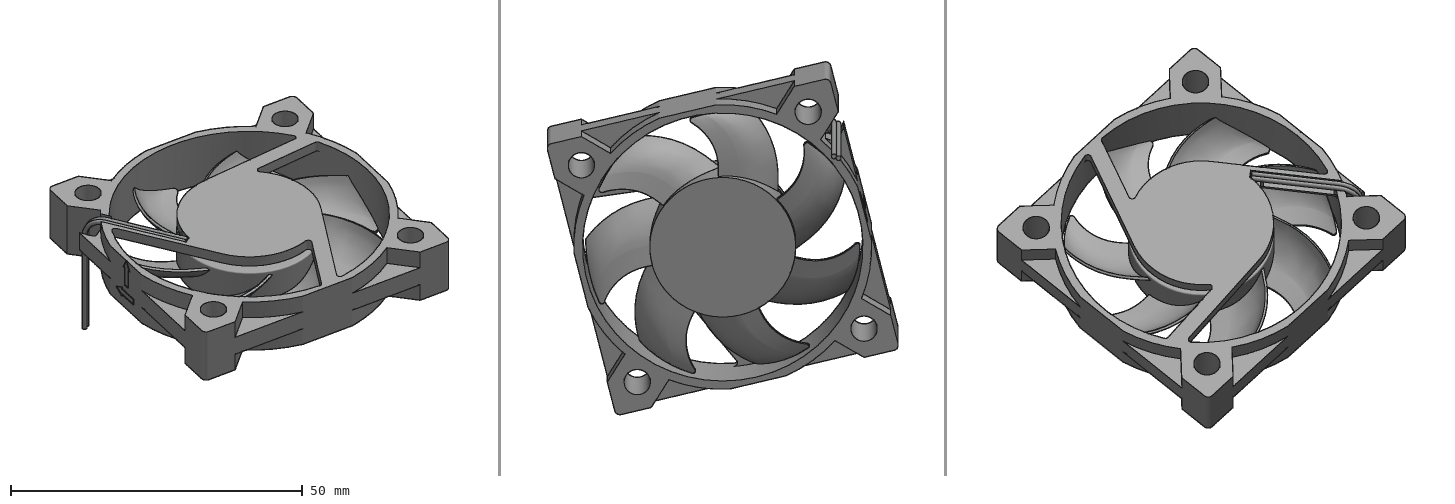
import cadquery as cq
import math

side = 50.0
frame_height = 10.25
corner_radius = 0.95
ring_radius = 25.5
bore_radius = 24.0
web_height = 3.6
corner_width = 8.8
hole_spacing = 40.0
hole_diameter = 4.5

plate_radius = 12.4
plate_thickness = 1.95
strut_width = 2.9
strut_count = 3
strut_angle = 215.4
strut_fillet = 0.6
strut_inner_offset = plate_radius - strut_width

wire_diameter = 0.85
wire_middle_offset = 10.65
wire_start = 7.25
wire_drop_place = 25.95
wire_bend_radius = 3.75
overall_height = 23.8
wire_end = frame_height - overall_height

channel_start = 7.0
channel_depth = 1.5
mouth_length = 2.0
mouth_extra_width = 1.0
channel_outer_offset = 11.55
notch_start = 23.65
notch_fillet = 0.5
notch_outer_offset = 11.75

arrow_length = 5.5
arrow_head_length = 1.85
arrow_shaft_width = 1.15
arrow_head_width = 1.9
arrow_depth = 0.15
up_arrow_start = 4.7
side_arrow_start = 2.25
side_arrow_height = 2.75

rotor_radius = 12.5
rotor_bottom = -0.15
rotor_recess = 3.4
rotor_top = frame_height - rotor_recess
rotor_edge_fillet = 0.25
blade_count = 7
blade_tip_radius = 23.5
blade_thickness = 0.5
blade_tip_fillet = 0.5
blade_low_z = 1.0
blade_flat_slope = 11.0
blade_rise = 4.6
blade_low_edge = (0.55, 14.0, 9.6)
blade_bend_line = (-2.85, 14.0, 10.5)
blade_high_edge = (-9.25, 11.0, 18.0)
blade_stations = [7.0, 11.0, 14.0, 16.0, 18.0, 20.0, 21.5, 22.5, 23.55]


def cylinder(radius, bottom, top):
    return cq.Workplane("XY").workplane(offset=bottom).circle(radius).extrude(top - bottom)


def block(start, end, inner, outer, bottom, top):
    """Box in the frame of the wire strut: start..end along it, inner..outer from the fan axis."""
    box = cq.Workplane("XY").box(end - start, outer - inner, top - bottom, centered=False)
    return box.translate((start, inner, bottom)).rotate((0, 0, 0), (0, 0, 1), strut_angle)


def strut_point(along, offset, angle):
    """Plan position of a point given along a strut and by its distance from the fan axis."""
    turn = math.radians(angle)
    x = along * math.cos(turn) - offset * math.sin(turn)
    y = along * math.sin(turn) + offset * math.cos(turn)
    return x, y


def make_frame():
    square = cq.Workplane("XY").rect(side, side).extrude(frame_height).edges("|Z").fillet(corner_radius)
    bars = cylinder(ring_radius, 0, frame_height)
    for angle in (45, 135):
        bar = cq.Workplane("XY").rect(2 * side, corner_width).extrude(frame_height)
        bars = bars.union(bar.rotate((0, 0, 0), (0, 0, 1), angle))
    web_bottom = (frame_height - web_height) / 2
    web = cq.Workplane("XY").workplane(offset=web_bottom).rect(side, side).extrude(web_height)
    frame = bars.union(web).intersect(square)
    holes = (
        cq.Workplane("XY")
        .rect(hole_spacing, hole_spacing, forConstruction=True)
        .vertices()
        .circle(hole_diameter / 2)
        .extrude(frame_height)
    )
    return frame.cut(holes)


def make_openings():
    """The bore below the struts and the three rounded openings between them."""
    plate_bottom = frame_height - plate_thickness
    openings = cylinder(bore_radius, plate_bottom, frame_height)
    openings = openings.cut(cylinder(plate_radius, plate_bottom, frame_height))
    strut = block(0, side, strut_inner_offset, plate_radius, plate_bottom, frame_height)
    angles = [360 / strut_count * i for i in range(strut_count)]
    for angle in angles:
        openings = openings.cut(strut.rotate((0, 0, 0), (0, 0, 1), angle))
    middle_height = frame_height - plate_thickness / 2
    sharp_corners = [
        (math.sqrt(plate_radius**2 - strut_inner_offset**2), strut_inner_offset),
        (math.sqrt(bore_radius**2 - strut_inner_offset**2), strut_inner_offset),
        (math.sqrt(bore_radius**2 - plate_radius**2), plate_radius),
    ]
    for angle in angles:
        for along, offset in sharp_corners:
            x, y = strut_point(along, offset, strut_angle + angle)
            corner = cq.selectors.NearestToPointSelector((x, y, middle_height))
            openings = openings.edges("|Z").edges(corner).fillet(strut_fillet)
    return openings.union(cylinder(bore_radius, 0, plate_bottom))


def make_wire_channel():
    """Channel along the strut and across the ring, and the notch below it in the web."""
    channel_bottom = frame_height - channel_depth
    channel = block(
        channel_start, side, strut_inner_offset, channel_outer_offset, channel_bottom, frame_height
    )
    mouth = block(
        channel_start, channel_start + mouth_length,
        strut_inner_offset - mouth_extra_width, strut_inner_offset,
        channel_bottom, frame_height,
    )
    channel = channel.union(mouth).cut(cylinder(plate_radius, channel_bottom, frame_height))
    channel = channel.intersect(cylinder(ring_radius, channel_bottom, frame_height))
    notch = block(notch_start, side, 0, notch_outer_offset, 0, frame_height)
    inner_x, inner_y = strut_point(notch_start, notch_outer_offset, strut_angle)
    inner_corner = cq.selectors.NearestToPointSelector((inner_x, inner_y, frame_height / 2))
    notch = notch.edges("|Z").edges(inner_corner).fillet(notch_fillet)
    notch = notch.cut(cylinder(ring_radius, 0, frame_height))
    past_post = cq.Workplane("XY").rect(2 * side, side).extrude(frame_height)
    past_post = past_post.translate((0, -(side + corner_width) / 2, 0)).rotate((0, 0, 0), (0, 0, 1), 45)
    return channel.union(notch.intersect(past_post))


def make_arrow():
    """Arrow cutter in the -Y side, pointing up with its tail at the origin."""
    shaft = arrow_shaft_width / 2
    head = arrow_head_width / 2
    neck = arrow_length - arrow_head_length
    return (
        cq.Workplane("XZ", origin=(0, -side / 2 + arrow_depth, 0))
        .polyline([
            (-shaft, 0), (shaft, 0), (shaft, neck), (head, neck),
            (0, arrow_length), (-head, neck), (-shaft, neck),
        ])
        .close()
        .extrude(arrow_depth)
    )


def make_wire(offset):
    """Round wire at the given distance from the fan axis: along the strut, then down."""
    height = frame_height - wire_diameter / 2
    x, y = strut_point(0, offset, strut_angle)
    along_x, along_y = strut_point(1, 0, strut_angle)
    side_x, side_y = strut_point(0, -1, strut_angle)
    plane = cq.Plane(origin=(x, y, 0), xDir=(along_x, along_y, 0), normal=(side_x, side_y, 0))
    bend_start = wire_drop_place - wire_bend_radius
    path = (
        cq.Workplane(plane)
        .moveTo(wire_start, height)
        .lineTo(bend_start, height)
        .tangentArcPoint((wire_drop_place, height - wire_bend_radius), relative=False)
        .lineTo(wire_drop_place, wire_end)
    )
    start_x, start_y = strut_point(wire_start, offset, strut_angle)
    start = cq.Plane(
        origin=(start_x, start_y, height), xDir=(0, 0, 1), normal=(along_x, along_y, 0)
    )
    return cq.Workplane(start).circle(wire_diameter / 2).sweep(path)


def make_housing(wires):
    housing = make_frame().cut(make_openings()).cut(make_wire_channel())
    arrow = make_arrow()
    left_arrow = arrow.rotate((0, 0, 0), (0, 1, 0), -90)
    housing = housing.cut(arrow.translate((0, 0, up_arrow_start)))
    housing = housing.cut(left_arrow.translate((side_arrow_start, 0, side_arrow_height)))
    for wire in wires:
        housing = housing.cut(wire)
    return housing


def edge_x(edge, y):
    """X of a long blade edge at this Y."""
    straight_x, arc_start, radius = edge
    past = max(0.0, y - arc_start)
    return straight_x + radius - math.sqrt(radius**2 - past**2)


def blade_section(y):
    """Blade profile at this Y: a straight part and an arc tangent to it, both of one thickness."""
    slope = math.radians(blade_flat_slope)
    low = (edge_x(blade_low_edge, y), blade_low_z)
    bend_x = edge_x(blade_bend_line, y)
    bend = (bend_x, blade_low_z + (low[0] - bend_x) * math.tan(slope))
    curve_length = bend_x - edge_x(blade_high_edge, y)
    chord = math.atan2(blade_rise, curve_length)
    end_slope = 2 * chord - slope
    radius = math.hypot(curve_length, blade_rise) / (2 * math.sin(chord - slope))
    centre = (bend[0] + radius * math.sin(slope), bend[1] + radius * math.cos(slope))

    def on_arc(angle, extra):
        reach = radius + extra
        return centre[0] - reach * math.sin(angle), centre[1] - reach * math.cos(angle)

    low_under = (
        low[0] - blade_thickness * math.sin(slope),
        low[1] - blade_thickness * math.cos(slope),
    )
    profile = (
        cq.Workplane("XZ", origin=(0, y, 0))
        .moveTo(*low)
        .lineTo(*bend)
        .threePointArc(on_arc(chord, 0), on_arc(end_slope, 0))
        .lineTo(*on_arc(end_slope, blade_thickness))
        .threePointArc(on_arc(chord, blade_thickness), on_arc(slope, blade_thickness))
        .lineTo(*low_under)
        .close()
    )
    return profile.wire().val()


def make_rotor():
    rotor = cylinder(rotor_radius, rotor_bottom, rotor_top)
    rotor = rotor.faces(">Z").edges().fillet(rotor_edge_fillet)
    loft = cq.Solid.makeLoft([blade_section(y) for y in blade_stations])
    blade = cq.Workplane(loft).intersect(cylinder(blade_tip_radius, 0, frame_height))
    tip_corner = cq.selectors.NearestToPointSelector((side, side / 2, 0))
    blade = blade.edges(tip_corner).fillet(blade_tip_fillet)
    for i in range(blade_count):
        rotor = rotor.union(blade.rotate((0, 0, 0), (0, 0, 1), 360 / blade_count * i))
    return rotor


wires = []
for step in (-0.5, 0.5):
    wires.append(make_wire(wire_middle_offset + step * wire_diameter))
housing = make_housing(wires)
rotor = make_rotor()

result = cq.Compound.makeCompound([housing.val(), rotor.val(), *[wire.val() for wire in wires]])